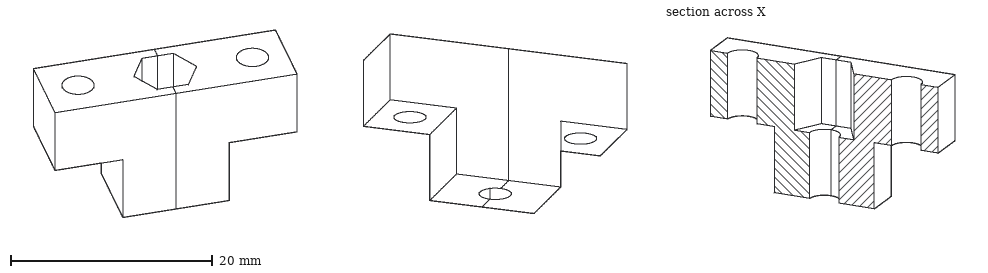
import cadquery as cq

length = 25.0
width = 8.0
height = 14.0
bar_height = height / 2
stem_length = 11.0

hole_diameter = 3.2
hole_spacing = 9.0

nut_corner_diameter = 6.48
nut_pocket_depth = bar_height
nut_corner_count = 6


def make_block():
    """T-shaped block centred on X = Y = 0, standing on Z = 0."""
    stem = cq.Workplane("XY").box(width, stem_length, height, centered=(True, True, False))
    bar = (
        cq.Workplane("XY")
        .workplane(offset=height - bar_height)
        .box(width, length, bar_height, centered=(True, True, False))
    )
    return stem.union(bar)


def make_holes():
    """Centre screw hole and one hole through each arm."""
    centres = [(0, -hole_spacing), (0, 0), (0, hole_spacing)]
    return cq.Workplane("XY").pushPoints(centres).circle(hole_diameter / 2).extrude(height)


def make_nut_pocket():
    """Hexagonal prism above the centre hole, reaching the top face."""
    return (
        cq.Workplane("XY")
        .workplane(offset=height - nut_pocket_depth)
        .transformed(rotate=(0, 0, 90))
        .polygon(nut_corner_count, nut_corner_diameter)
        .extrude(nut_pocket_depth)
    )


def make_clamp_half(side):
    """Half of the block on the -Y side (side = -1) or the +Y side (side = 1)."""
    half_space = (
        cq.Workplane("XY")
        .box(width, length / 2, height, centered=(True, True, False))
        .translate((0, side * length / 4, 0))
    )
    return make_block().intersect(half_space).cut(make_holes()).cut(make_nut_pocket())


clamp_halves = []
for side in (-1, 1):
    clamp_halves.append(make_clamp_half(side).solids().val())

result = cq.Compound.makeCompound(clamp_halves)